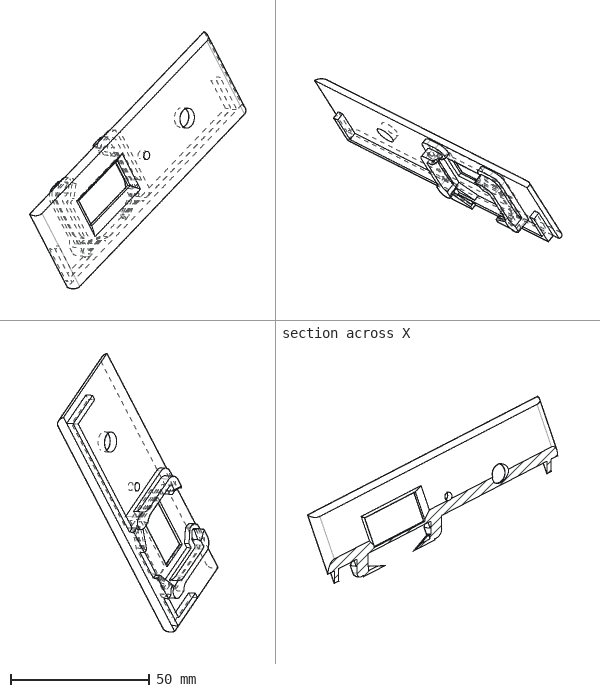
import cadquery as cq
import math

TILT = 60.0

LENGTH = 106.0
THICKNESS = 3.0
SLOPE_LENGTH = 33.9
EDGE_SLANT = THICKNESS / math.tan(math.radians(TILT))

LARGE_HOLE = (18.8, 26.6, 7.2)
SMALL_HOLE = (17.3, 3.1, 3.0)

WINDOW_Y = -20.0
WINDOW_TOP = 10.6
WINDOW_HEIGHT = 11.7
WINDOW_WIDTH = 23.3
FLARE_START = 1.3
FLARE_TOP = 8.9
FLARE_HEIGHT = 16.5
FLARE_WIDTH = 27.6

RIM_HEIGHT = 3.0
RIM_WIDTH = 2.1
RIM_INSET = 3.0
RIM_TOP = 18.9
RIM_INNER = SLOPE_LENGTH - RIM_WIDTH

PAD_HEIGHT = 2.0
ARM_START = 2.2
CLIP_HEIGHT = 6.0
CLIP_OUTER = 19.6
CLIP_INNER = 14.4
CLIP_WIDTH = CLIP_OUTER - CLIP_INNER
ROOT_RADIUS = CLIP_WIDTH / 2
ROOT_BOTTOM = 31.8
ROOT_CENTRE = ROOT_BOTTOM - ROOT_RADIUS

PAD_TOP = 1.1
PAD_OUTER_RADIUS = 3.9
PAD_TIP_RADIUS = 3.2
PAD_TIP = 8.4
PAD_TIP_END = 5.4
PAD_HEAD_BOTTOM = 9.3

ARM_OUTER = 17.9
ARM_INNER = 15.7
ARM_TOP = 3.3
ARM_OUTER_RADIUS = 3.9
ARM_TIP = 9.5
ARM_TIP_START = 10.8
ARM_TIP_END = 4.9
ARM_TIP_MIDDLE = (3.9, 9.9)
ARM_HEAD_BOTTOM = 7.3
ARM_NOTCH_RADIUS = 1.1
TIP_BEVEL_END = 12.7
TIP_BEVEL_REACH = 3.2
TIP_BEVEL_STEEPNESS = 1.6
FLARE_OUT_START = 22.8
FLARE_OUT_END = 26.4

GUSSET_HEIGHT = 5.0
GUSSET_SPLIT = 2.2
GUSSET_START = 28.4
GUSSET_END_ACROSS = 6.4
GUSSET_FAR_ACROSS = 16.4
GUSSET_SET_BACK = 0.4
LIP_THICKNESS = 1.0
SLOT_END_WALL = 0.3

SIN45 = math.sqrt(0.5)


def slab(x_start, x_end, y_start, y_end, z_start, z_end):
    size = (x_end - x_start, y_end - y_start, z_end - z_start)
    return cq.Workplane().box(*size, centered=False).translate((x_start, y_start, z_start))


def make_panel():
    half = LENGTH / 2
    crown = half - THICKNESS
    sag = THICKNESS * SIN45
    rounded = (
        cq.Workplane("YZ")
        .moveTo(-half, 0)
        .lineTo(half, 0)
        .threePointArc((crown + sag, sag), (crown, THICKNESS))
        .lineTo(-crown, THICKNESS)
        .threePointArc((-crown - sag, sag), (-half, 0))
        .close()
        .extrude(SLOPE_LENGTH + EDGE_SLANT)
    )
    side = [
        (0, 0),
        (SLOPE_LENGTH, 0),
        (SLOPE_LENGTH + EDGE_SLANT, THICKNESS),
        (EDGE_SLANT, THICKNESS),
    ]
    return rounded.intersect(cq.Workplane("XZ").polyline(side).close().extrude(half, both=True))


def make_hole(x, y, diameter):
    return cq.Workplane().center(x, y).circle(diameter / 2).extrude(THICKNESS)


def make_window():
    centre = WINDOW_TOP + WINDOW_HEIGHT / 2
    flare_centre = FLARE_TOP + FLARE_HEIGHT / 2
    straight = (
        cq.Workplane()
        .center(centre, WINDOW_Y)
        .rect(WINDOW_HEIGHT, WINDOW_WIDTH)
        .extrude(THICKNESS)
    )
    flare = (
        cq.Workplane("XY", origin=(centre, WINDOW_Y, FLARE_START))
        .rect(WINDOW_HEIGHT, WINDOW_WIDTH)
        .workplane(offset=THICKNESS - FLARE_START)
        .center(flare_centre - centre, 0)
        .rect(FLARE_HEIGHT, FLARE_WIDTH)
        .loft()
    )
    return straight.union(flare)


def make_rim():
    end = LENGTH / 2 - RIM_INSET
    outer = slab(RIM_TOP, SLOPE_LENGTH, -end, end, -RIM_HEIGHT, 0)
    inner_end = end - RIM_WIDTH
    return outer.cut(slab(RIM_TOP, RIM_INNER, -inner_end, inner_end, -RIM_HEIGHT, 0))


def make_pad():
    outer_shift = PAD_OUTER_RADIUS * (1 - SIN45)
    tip_shift = PAD_TIP_RADIUS * (1 - SIN45)
    diagonal_end = PAD_TIP + PAD_HEAD_BOTTOM - PAD_TIP_END
    return (
        cq.Workplane()
        .moveTo(ROOT_CENTRE, CLIP_OUTER)
        .lineTo(PAD_TOP + PAD_OUTER_RADIUS, CLIP_OUTER)
        .threePointArc(
            (PAD_TOP + outer_shift, CLIP_OUTER - outer_shift),
            (PAD_TOP, CLIP_OUTER - PAD_OUTER_RADIUS),
        )
        .lineTo(PAD_TOP, PAD_TIP + PAD_TIP_RADIUS)
        .threePointArc(
            (PAD_TOP + tip_shift, PAD_TIP + tip_shift),
            (PAD_TOP + PAD_TIP_RADIUS, PAD_TIP),
        )
        .lineTo(PAD_TIP_END, PAD_TIP)
        .lineTo(PAD_HEAD_BOTTOM, diagonal_end)
        .lineTo(PAD_HEAD_BOTTOM, CLIP_INNER)
        .lineTo(ROOT_CENTRE, CLIP_INNER)
        .threePointArc((ROOT_BOTTOM, CLIP_INNER + ROOT_RADIUS), (ROOT_CENTRE, CLIP_OUTER))
        .close()
        .extrude(-PAD_HEIGHT)
    )


def flare_middle(step):
    length = FLARE_OUT_END - FLARE_OUT_START
    radius = (length**2 + step**2) / (2 * step)
    half_angle = math.asin(length / radius) / 2
    return radius * math.sin(half_angle), radius * (1 - math.cos(half_angle))


def make_arm():
    outer_shift = ARM_OUTER_RADIUS * (1 - SIN45)
    notch_shift = ARM_NOTCH_RADIUS * (1 - SIN45)
    diagonal_end = ARM_TIP + ARM_HEAD_BOTTOM - ARM_TIP_END
    outer_run, outer_step = flare_middle(CLIP_OUTER - ARM_OUTER)
    inner_run, inner_step = flare_middle(ARM_INNER - CLIP_INNER)
    arm = (
        cq.Workplane("XY", origin=(0, 0, -ARM_START))
        .moveTo(ROOT_CENTRE, CLIP_OUTER)
        .lineTo(FLARE_OUT_END, CLIP_OUTER)
        .threePointArc(
            (FLARE_OUT_START + outer_run, ARM_OUTER + outer_step),
            (FLARE_OUT_START, ARM_OUTER),
        )
        .lineTo(ARM_TOP + ARM_OUTER_RADIUS, ARM_OUTER)
        .threePointArc(
            (ARM_TOP + outer_shift, ARM_OUTER - outer_shift),
            (ARM_TOP, ARM_OUTER - ARM_OUTER_RADIUS),
        )
        .lineTo(ARM_TOP, ARM_TIP_START)
        .threePointArc(ARM_TIP_MIDDLE, (ARM_TIP_END, ARM_TIP))
        .lineTo(ARM_HEAD_BOTTOM, diagonal_end)
        .lineTo(ARM_HEAD_BOTTOM, ARM_INNER - ARM_NOTCH_RADIUS)
        .threePointArc(
            (ARM_HEAD_BOTTOM + notch_shift, ARM_INNER - notch_shift),
            (ARM_HEAD_BOTTOM + ARM_NOTCH_RADIUS, ARM_INNER),
        )
        .lineTo(FLARE_OUT_START, ARM_INNER)
        .threePointArc(
            (FLARE_OUT_START + inner_run, ARM_INNER - inner_step),
            (FLARE_OUT_END, CLIP_INNER),
        )
        .lineTo(ROOT_CENTRE, CLIP_INNER)
        .threePointArc((ROOT_BOTTOM, CLIP_INNER + ROOT_RADIUS), (ROOT_CENTRE, CLIP_OUTER))
        .close()
        .extrude(-(CLIP_HEIGHT - ARM_START))
    )
    return arm.cut(make_tip_bevel())


def make_tip_bevel():
    run = cq.Vector(ARM_TOP - ARM_HEAD_BOTTOM, ARM_TIP_START - TIP_BEVEL_END, 0)
    start = cq.Vector(ARM_HEAD_BOTTOM, TIP_BEVEL_END, -CLIP_HEIGHT)
    outward = cq.Vector(-run.y, run.x, 0)
    wedge_plane = cq.Plane(origin=start, xDir=outward, normal=run)
    depth = TIP_BEVEL_REACH * TIP_BEVEL_STEEPNESS
    return (
        cq.Workplane(wedge_plane)
        .polyline([(0, 0), (TIP_BEVEL_REACH, 0), (TIP_BEVEL_REACH, depth)])
        .close()
        .extrude(run.Length)
    )


def make_root():
    bridge = ARM_START - PAD_HEIGHT
    return (
        cq.Workplane("XY", origin=(0, 0, -PAD_HEIGHT))
        .moveTo(FLARE_OUT_END, CLIP_OUTER)
        .lineTo(ROOT_CENTRE, CLIP_OUTER)
        .threePointArc((ROOT_BOTTOM, CLIP_INNER + ROOT_RADIUS), (ROOT_CENTRE, CLIP_INNER))
        .lineTo(FLARE_OUT_END, CLIP_INNER)
        .close()
        .extrude(-bridge)
    )


def gusset_layer(set_back, z_start, z_end):
    outline = [
        (GUSSET_START + set_back, CLIP_INNER),
        (RIM_INNER + set_back, GUSSET_END_ACROSS),
        (SLOPE_LENGTH, GUSSET_END_ACROSS),
        (SLOPE_LENGTH, GUSSET_FAR_ACROSS),
        (GUSSET_START + set_back, GUSSET_FAR_ACROSS),
    ]
    return (
        cq.Workplane("XY", origin=(0, 0, -z_start))
        .polyline(outline)
        .close()
        .extrude(-(z_end - z_start))
    )


def make_gusset():
    base = gusset_layer(0, 0, GUSSET_SPLIT)
    upper = gusset_layer(GUSSET_SET_BACK, GUSSET_SPLIT, GUSSET_HEIGHT)
    slot = slab(
        GUSSET_START,
        RIM_INNER + GUSSET_SET_BACK,
        GUSSET_END_ACROSS + SLOT_END_WALL,
        CLIP_INNER - SLOT_END_WALL,
        LIP_THICKNESS - GUSSET_HEIGHT,
        -GUSSET_SPLIT,
    )
    return base.union(upper.cut(slot))


def make_clip():
    return make_pad().union(make_root()).union(make_arm()).union(make_gusset())


panel = make_panel().cut(make_window())
for hole in (LARGE_HOLE, SMALL_HOLE):
    panel = panel.cut(make_hole(*hole))

clip = make_clip()
flat = panel.union(make_rim())
for one_clip in (clip, clip.mirror("XZ")):
    flat = flat.union(one_clip.translate((0, WINDOW_Y, 0)))

result = flat.rotate((0, 0, 0), (0, 1, 0), TILT)